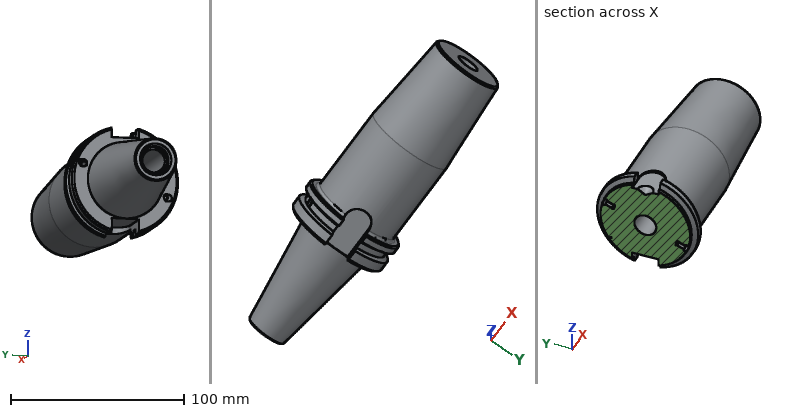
import cadquery as cq
import math

total_length = 198.2

taper_length = 68.5
taper_large_diameter = 44.8
taper_ratio = 7 / 24
taper_end_chamfer = 0.5

flange_diameter = 63.5
flange_end = 87.6
flange_chamfer = 1.2
flange_rear_chamfer = 1.0
groove_center = 79.3
groove_mouth_width = 6.7
groove_floor_width = 4.2
groove_floor_diameter = 56.5

body_diameter = 53.0
body_fillet = 1.5
nose_start = 141.2
nose_diameter = 44.2
nose_chamfer = 1.0

bore_diameter = 13.5
pilot_diameter = 16.3
pilot_depth = 5.0
countersink_diameter = 18.6
countersink_depth = 2.0

slot_width = 16.3
slot_end = 97.5
upper_slot_floor = 25.0
lower_slot_floor = 22.6
dimple_diameter = 9.5
dimple_point_angle = 118.0

channel_angle = 20.0
channel_slant = 30.0
channel_face_radius = 27.0
channel_mouth_diameter = 4.2
channel_mouth_depth = 2.4
slanted_bore_diameter = 3.2
radial_bore_diameter = 2.4
radial_mouth_depth = 2.0
radial_lead_in = 1.0


def turned_body():
    taper_radius = taper_large_diameter / 2
    taper_end_radius = taper_radius - taper_length * taper_ratio / 2
    flange_radius = flange_diameter / 2
    groove_radius = groove_floor_diameter / 2
    body_radius = body_diameter / 2
    nose_radius = nose_diameter / 2
    half_mouth = groove_mouth_width / 2
    half_floor = groove_floor_width / 2
    fillet_end = flange_end + body_fillet
    fillet_mid = (
        fillet_end - body_fillet * math.sin(math.pi / 4),
        body_radius + body_fillet * (1 - math.cos(math.pi / 4)),
    )
    return (
        cq.Workplane("XY")
        .moveTo(0, 0)
        .lineTo(0, taper_end_radius - taper_end_chamfer)
        .lineTo(taper_end_chamfer, taper_end_radius + taper_end_chamfer * taper_ratio / 2)
        .lineTo(taper_length, taper_radius)
        .lineTo(taper_length, flange_radius - flange_chamfer)
        .lineTo(taper_length + flange_chamfer, flange_radius)
        .lineTo(groove_center - half_mouth, flange_radius)
        .lineTo(groove_center - half_floor, groove_radius)
        .lineTo(groove_center + half_floor, groove_radius)
        .lineTo(groove_center + half_mouth, flange_radius)
        .lineTo(flange_end - flange_rear_chamfer, flange_radius)
        .lineTo(flange_end, flange_radius - flange_rear_chamfer)
        .lineTo(flange_end, body_radius + body_fillet)
        .threePointArc(fillet_mid, (fillet_end, body_radius))
        .lineTo(nose_start, body_radius)
        .lineTo(total_length - nose_chamfer, nose_radius)
        .lineTo(total_length, nose_radius - nose_chamfer)
        .lineTo(total_length, 0)
        .close()
        .revolve(360, (0, 0, 0), (1, 0, 0))
    )


def central_bore():
    return (
        cq.Workplane("XY")
        .moveTo(0, 0)
        .lineTo(0, countersink_diameter / 2)
        .lineTo(countersink_depth, pilot_diameter / 2)
        .lineTo(pilot_depth, pilot_diameter / 2)
        .lineTo(pilot_depth, bore_diameter / 2)
        .lineTo(total_length, bore_diameter / 2)
        .lineTo(total_length, 0)
        .close()
        .revolve(360, (0, 0, 0), (1, 0, 0))
    )


def drive_slot(floor, direction):
    arc_center = slot_end - slot_width / 2
    height = flange_diameter / 2 - floor
    return (
        cq.Workplane("XY", origin=(0, 0, direction * floor))
        .moveTo(taper_length, -slot_width / 2)
        .lineTo(arc_center, -slot_width / 2)
        .threePointArc((slot_end, 0), (arc_center, slot_width / 2))
        .lineTo(taper_length, slot_width / 2)
        .close()
        .extrude(direction * height)
    )


def slot_dimple():
    radius = dimple_diameter / 2
    depth = radius / math.tan(math.radians(dimple_point_angle / 2))
    return cq.Workplane(
        cq.Solid.makeCone(
            radius, 0, depth, cq.Vector(groove_center, 0, upper_slot_floor), cq.Vector(0, 0, -1)
        )
    )


def stepped_hole(mouth, direction, mouth_depth, bore, depth, lead_in):
    start = mouth - direction * lead_in
    wide = cq.Solid.makeCylinder(channel_mouth_diameter / 2, mouth_depth + lead_in, start, direction)
    narrow = cq.Solid.makeCylinder(bore / 2, depth + lead_in, start, direction)
    return cq.Workplane(wide).union(cq.Workplane(narrow))


def coolant_channel():
    slant = math.radians(channel_slant)
    run = groove_center - taper_length
    meeting_radius = channel_face_radius - run * math.tan(slant)
    groove_radius = groove_floor_diameter / 2
    slanted = stepped_hole(
        cq.Vector(taper_length, channel_face_radius, 0),
        cq.Vector(math.cos(slant), -math.sin(slant), 0),
        channel_mouth_depth,
        slanted_bore_diameter,
        run / math.cos(slant),
        channel_mouth_diameter,
    )
    radial = stepped_hole(
        cq.Vector(groove_center, groove_radius, 0),
        cq.Vector(0, -1, 0),
        radial_mouth_depth,
        radial_bore_diameter,
        groove_radius - meeting_radius,
        radial_lead_in,
    )
    return slanted.union(radial)


result = turned_body().cut(central_bore())
result = result.cut(drive_slot(upper_slot_floor, 1))
result = result.cut(drive_slot(lower_slot_floor, -1))
result = result.cut(slot_dimple())
for side_angle in (channel_angle, channel_angle + 180):
    result = result.cut(coolant_channel().rotate((0, 0, 0), (1, 0, 0), side_angle))